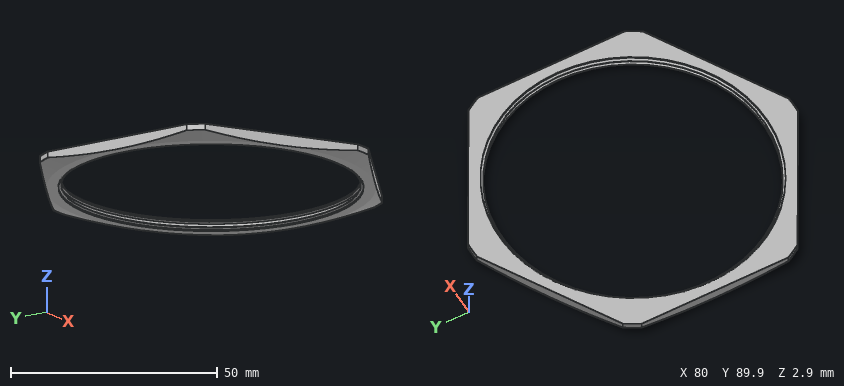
import cadquery as cq
import math

across_flats = 80.0
across_corners = 89.9
thickness = 2.9
crest_diameter = 72.7
root_diameter = 74.1
ridge_count = 2
ridge_width = 0.7
corner_chamfer_angle = 15.0

flat_radius = across_flats / 2
ridge_pitch = thickness / ridge_count
corner_radius = across_corners / 2
chamfer_height = (corner_radius - flat_radius) * math.tan(math.radians(corner_chamfer_angle))


def hexagonal_blank():
    """Sharp hexagonal plate with corners on the Y axis."""
    sharp_diameter = across_flats / math.cos(math.pi / 6)
    plate = cq.Workplane("XY").polygon(6, sharp_diameter).extrude(thickness)
    return plate.rotate((0, 0, 0), (0, 0, 1), 30)


def turned_envelope():
    """Disc that rounds the hexagon corners and chamfers their lower side."""
    profile = [
        (0, 0),
        (flat_radius, 0),
        (corner_radius, chamfer_height),
        (corner_radius, thickness),
        (0, thickness),
    ]
    return cq.Workplane("XZ").polyline(profile).close().revolve(360, (0, 0), (0, 1))


def ridged_bore():
    """Solid of the through bore, leaving V-shaped thread ridges as closed rings."""
    crest_radius = crest_diameter / 2
    root_radius = root_diameter / 2
    half_ridge = ridge_width / 2
    profile = [(0, 0), (root_radius, 0)]
    for ridge in range(ridge_count):
        crest_z = (ridge + 0.5) * ridge_pitch
        profile += [
            (root_radius, crest_z - half_ridge),
            (crest_radius, crest_z),
            (root_radius, crest_z + half_ridge),
        ]
    profile += [(root_radius, thickness), (0, thickness)]
    return cq.Workplane("XZ").polyline(profile).close().revolve(360, (0, 0), (0, 1))


result = hexagonal_blank().intersect(turned_envelope()).cut(ridged_bore())